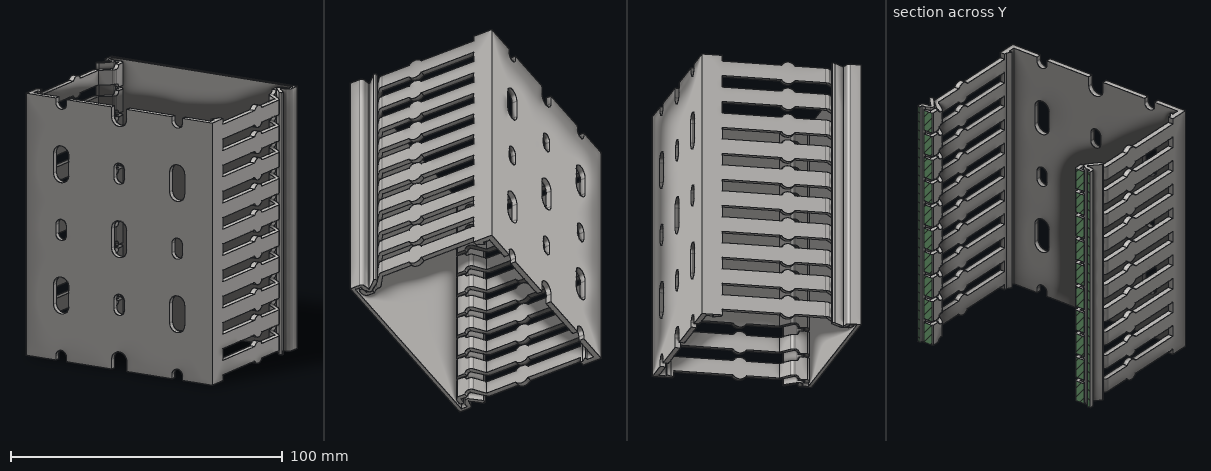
import cadquery as cq
import math

length = 100.0
half_width = 40.1
height = 60.2

wall = 2.1
shoulder_y = 46.7
shoulder_bend = (0.8, 1.7)
inner_shoulder_y = 47.6
neck_y = 52.4
inner_neck_y = 52.2
neck_bend = (0.8, 1.5)
hook_outer_x = 34.7
hook_inner_x = 33.0
hook_bend_y = 57.0
hook_tip_x = 37.2
hook_tip_bottom_y = 56.5
hook_tip_top_y = 58.3
hook_bend_end_x = 35.8
hook_bend_mid = (33.9, 57.9)
barb_reach = 1.3
barb_top_y = 6.7
barb_bottom_y = 4.8

finger_pitch = 10.0
slot_start_y = 7.7
slot_width = 4.4
tip_gap = 1.4
bump_y = 32.6
bump_chord = 5.2
bump_rise = 1.4

hole_pitch = 25.0
large_hole_length = 14.0
large_hole_width = 6.5
small_hole_length = 8.0
small_hole_width = 4.5

cover_thickness = 1.5
rim_thickness = 1.3
rim_bend_top_y = 56.2
rim_bend = (1.5, 1.5)
crook = (36.3, 54.3)
lip_end_top_y = 50.2
lip_end_bottom_y = 49.3
lip_end_inner_x = 38.8
knuckle_lower = (35.1, 53.6)
knuckle_mid = (34.9, 54.3)
knuckle_upper = (35.6, 55.3)
ledge_y = 56.3
ledge_end_x = 37.2


def mirrored_extrusion(half_outline):
    """Extrude an outline of the +X half over the full length and add its mirror image."""
    half = half_outline.close().extrude(length / 2, both=True)
    return half.union(half.mirror("YZ")).clean()


def duct_blank():
    """U-shaped section with inward hooks on both walls, before the slots are cut."""
    inner_x = half_width - wall
    tip_radius = (hook_tip_top_y - hook_tip_bottom_y) / 2
    tip_center_x = hook_tip_x - tip_radius
    outline = (
        cq.Workplane("XY")
        .moveTo(0, 0)
        .lineTo(half_width, 0)
        .lineTo(half_width, shoulder_y)
        .tangentArcPoint((-shoulder_bend[0], shoulder_bend[1]))
        .lineTo(hook_outer_x, neck_y)
        .lineTo(hook_outer_x, hook_tip_bottom_y)
        .lineTo(tip_center_x, hook_tip_bottom_y)
        .threePointArc((hook_tip_x, hook_tip_bottom_y + tip_radius), (tip_center_x, hook_tip_top_y))
        .lineTo(hook_bend_end_x, hook_tip_top_y)
        .threePointArc(hook_bend_mid, (hook_inner_x, hook_bend_y))
        .lineTo(hook_inner_x, inner_neck_y)
        .tangentArcPoint((neck_bend[0], -neck_bend[1]))
        .lineTo(inner_x, inner_shoulder_y)
        .lineTo(inner_x, barb_top_y)
        .lineTo(inner_x - barb_reach, barb_bottom_y)
        .lineTo(inner_x, barb_bottom_y)
        .lineTo(inner_x, wall)
        .lineTo(0, wall)
    )
    return mirrored_extrusion(outline)


def finger_slots():
    """Cutters across both walls, one at every boundary between fingers and at both ends."""
    edge = slot_width / 2
    tip_edge = tip_gap / 2
    fillet = edge - tip_edge
    diagonal = fillet * math.sqrt(0.5)
    bump_start = bump_y - bump_chord / 2
    bump_end = bump_y + bump_chord / 2
    slot = (
        cq.Workplane("YZ")
        .moveTo(slot_start_y, -edge)
        .lineTo(bump_start, -edge)
        .threePointArc((bump_y, bump_rise - edge), (bump_end, -edge))
        .lineTo(neck_y, -edge)
        .threePointArc((neck_y + diagonal, -edge + fillet - diagonal), (neck_y + fillet, -tip_edge))
        .lineTo(height, -tip_edge)
        .lineTo(height, tip_edge)
        .lineTo(neck_y + fillet, tip_edge)
        .threePointArc((neck_y + diagonal, edge - fillet + diagonal), (neck_y, edge))
        .lineTo(bump_end, edge)
        .threePointArc((bump_y, edge - bump_rise), (bump_start, edge))
        .lineTo(slot_start_y, edge)
        .close()
        .extrude(half_width, both=True)
    )
    count = round(length / finger_pitch) + 1
    return [slot.translate((0, 0, i * finger_pitch - length / 2)) for i in range(count)]


def base_holes():
    """Upright oblong holes on a grid, large and small alternating; the end rows are cut in half."""
    large = []
    small = []
    for column in (-1, 0, 1):
        for row in (-2, -1, 0, 1, 2):
            place = (column * hole_pitch, row * hole_pitch)
            if (column + row) % 2 == 0:
                large.append(place)
            else:
                small.append(place)
    plane = cq.Workplane("XZ")
    large_holes = plane.pushPoints(large).slot2D(large_hole_length, large_hole_width, 90).extrude(-wall)
    small_holes = plane.pushPoints(small).slot2D(small_hole_length, small_hole_width, 90).extrude(-wall)
    return large_holes, small_holes


def make_duct():
    duct = duct_blank()
    for slot in finger_slots():
        duct = duct.cut(slot)
    for holes in base_holes():
        duct = duct.cut(holes)
    return duct


def make_cover():
    """Flat lid whose rims fold inward around a knuckle and back out, snapping behind the duct hooks."""
    rim_inner_x = half_width - rim_thickness
    outline = (
        cq.Workplane("XY")
        .moveTo(0, height)
        .lineTo(half_width, height)
        .lineTo(half_width, rim_bend_top_y)
        .tangentArcPoint((-rim_bend[0], -rim_bend[1]))
        .lineTo(*crook)
        .lineTo(half_width, lip_end_top_y)
        .lineTo(half_width, lip_end_bottom_y)
        .lineTo(lip_end_inner_x, lip_end_bottom_y)
        .lineTo(*knuckle_lower)
        .threePointArc(knuckle_mid, knuckle_upper)
        .lineTo(ledge_end_x, ledge_y)
        .lineTo(rim_inner_x, ledge_y)
        .lineTo(rim_inner_x, height - cover_thickness)
        .lineTo(0, height - cover_thickness)
    )
    return mirrored_extrusion(outline)


duct = make_duct()
cover = make_cover()
result = cq.Compound.makeCompound([duct.val(), cover.val()])